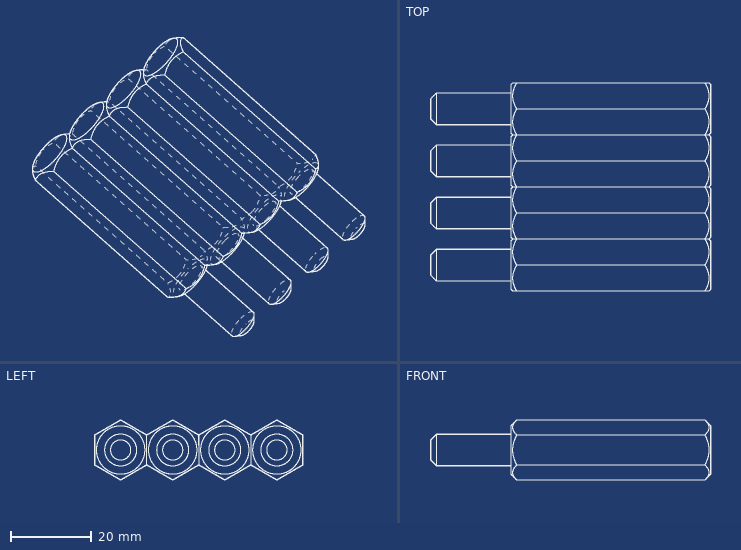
import cadquery as cq
import math

total_length = 70.0
row_width = 52.0
standoff_count = 4

hex_length = 50.0
across_flats = row_width / standoff_count
across_corners = across_flats / math.cos(math.pi / 6)
hex_chamfer = 1.5

stud_length = total_length - hex_length
stud_diameter = 8.0
tip_chamfer = 1.5

tip_x = -total_length / 2
shoulder_x = tip_x + stud_length
end_x = total_length / 2


def make_chamfer_envelope():
    """Turned shape that rounds off the hexagon corners at both ends."""
    corner_radius = across_corners / 2
    end_radius = corner_radius - hex_chamfer
    return (
        cq.Workplane("XY")
        .moveTo(shoulder_x, 0)
        .lineTo(shoulder_x, end_radius)
        .lineTo(shoulder_x + hex_chamfer, corner_radius)
        .lineTo(end_x - hex_chamfer, corner_radius)
        .lineTo(end_x, end_radius)
        .lineTo(end_x, 0)
        .close()
        .revolve(360, (0, 0, 0), (1, 0, 0))
    )


def make_hex_body():
    """Hexagonal bar with its corners along +Z and -Z, chamfered at both ends."""
    bar = (
        cq.Workplane("YZ", origin=(shoulder_x, 0, 0))
        .transformed(rotate=(0, 0, 90))
        .polygon(6, across_corners)
        .extrude(hex_length)
    )
    return bar.intersect(make_chamfer_envelope())


def make_stud():
    """Round stud with a conical tip."""
    stud_radius = stud_diameter / 2
    return (
        cq.Workplane("XY")
        .moveTo(tip_x, 0)
        .lineTo(tip_x, stud_radius - tip_chamfer)
        .lineTo(tip_x + tip_chamfer, stud_radius)
        .lineTo(shoulder_x, stud_radius)
        .lineTo(shoulder_x, 0)
        .close()
        .revolve(360, (0, 0, 0), (1, 0, 0))
    )


def make_standoff(center_y):
    """One standoff: hexagonal body and stud in one piece."""
    return make_hex_body().union(make_stud()).translate((0, center_y, 0))


standoffs = []
for index in range(standoff_count):
    center_y = (index - (standoff_count - 1) / 2) * across_flats
    standoffs.append(make_standoff(center_y))

result = cq.Compound.makeCompound([standoff.val() for standoff in standoffs])